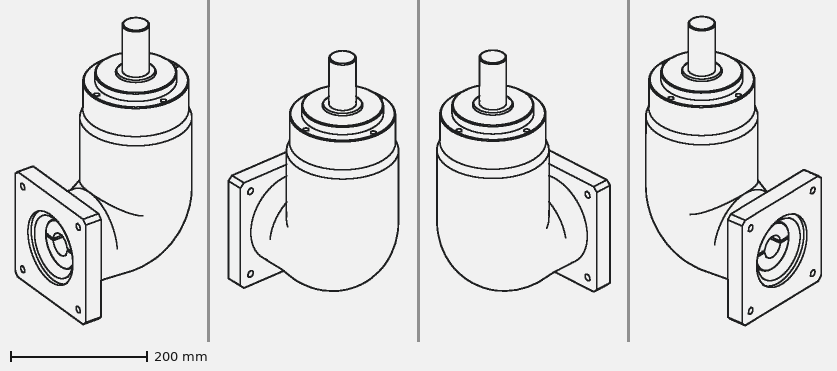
import cadquery as cq
import math

overall_height = 420.5

body_radius = 82.5
body_top = 261.3
collar_radius = 78.0
collar_bottom = 274.5
collar_top = 324.0
boss_radius = 60.0
boss_top = 338.2
seal_radius = 30.0
seal_top = 341.0
shaft_diameter = 40.0
shaft_radius = shaft_diameter / 2
edge_chamfer = 1.5
seal_taper = 1.5

collar_hole_count = 4
collar_hole_circle = 70.3
collar_hole_radius = 4.0
collar_hole_depth = 17.0
collar_hole_tip = 2.5

flange_size = 180.0
flange_thickness = 27.8
flange_front = -153.5
flange_back = flange_front + flange_thickness
flange_corner = 6.7
flange_hole_offset = 70.5
flange_hole_radius = 5.0
input_height = flange_size / 2

neck_radius = 70.3
neck_back = -body_radius
elbow_bottom = input_height - neck_radius
bend_offset = 38.5
bend_height = elbow_bottom + body_radius + bend_offset

pilot_radius = 57.2
pilot_depth = 6.0
recess_radius = 49.0
recess_depth = 50.5
hub_radius = 38.3
hub_height = 33.0
hub_chamfer = 1.3
bore_radius = 17.5
bore_depth = 50.5
slit_width = 3.5
slit_depth = hub_height


def input_disc(radius, front, back):
    """Cylinder on the input axis between two Y positions."""
    plane = cq.Workplane("XZ", origin=(0, front, input_height))
    return plane.circle(radius).extrude(front - back)


def make_output_column():
    """Turned housing, collar, boss, seal ring and shaft."""
    profile = [
        (0, bend_height),
        (body_radius, bend_height),
        (body_radius, body_top),
        (collar_radius, collar_bottom),
        (collar_radius, collar_top - edge_chamfer),
        (collar_radius - edge_chamfer, collar_top),
        (boss_radius, collar_top),
        (boss_radius, boss_top - edge_chamfer),
        (boss_radius - edge_chamfer, boss_top),
        (seal_radius, boss_top),
        (seal_radius - seal_taper, seal_top),
        (shaft_radius, seal_top),
        (shaft_radius, overall_height - edge_chamfer),
        (shaft_radius - edge_chamfer, overall_height),
        (0, overall_height),
    ]
    return cq.Workplane("XZ").polyline(profile).close().revolve(360, (0, 0), (0, 1))


def make_bend():
    """Quarter turn of the body circle, kept on the outer side of the bend axis."""
    half_chord = math.sqrt(body_radius**2 - bend_offset**2)
    return (
        cq.Workplane("XY", origin=(0, 0, bend_height))
        .moveTo(-half_chord, -bend_offset)
        .radiusArc((-body_radius, 0), body_radius)
        .radiusArc((0, body_radius), body_radius)
        .radiusArc((body_radius, 0), body_radius)
        .radiusArc((half_chord, -bend_offset), body_radius)
        .close()
        .revolve(90, (4, -bend_offset), (0, -bend_offset))
    )


def make_neck():
    """Taper from the body circle to the neck, then a straight neck to the flange."""
    taper = (
        cq.Workplane("XZ", origin=(0, -bend_offset, 0))
        .center(0, elbow_bottom + body_radius)
        .circle(body_radius)
        .workplane(offset=-bend_offset - neck_back)
        .center(0, neck_radius - body_radius)
        .circle(neck_radius)
        .loft()
    )
    return taper.union(input_disc(neck_radius, flange_back, neck_back))


def make_flange():
    """Square flange with cut corners and four through holes."""
    spacing = 2 * flange_hole_offset
    return (
        cq.Workplane("XZ", origin=(0, flange_back, input_height))
        .rect(flange_size, flange_size)
        .extrude(flange_thickness)
        .edges("|Y")
        .chamfer(flange_corner)
        .faces("<Y")
        .workplane(centerOption="CenterOfBoundBox")
        .rect(spacing, spacing, forConstruction=True)
        .vertices()
        .hole(2 * flange_hole_radius)
    )


def make_hub(floor):
    """Clamping hub standing on the recess floor."""
    return input_disc(hub_radius, floor - hub_height, floor).faces("<Y").chamfer(hub_chamfer)


def make_collar_holes():
    """Ring of blind drilled holes with conical tips in the collar face."""
    profile = [
        (0, 0),
        (collar_hole_radius, 0),
        (collar_hole_radius, -collar_hole_depth),
        (0, -collar_hole_depth - collar_hole_tip),
    ]
    drill = cq.Workplane("XZ").polyline(profile).close().revolve(360, (0, 0), (0, 1)).val()
    return (
        cq.Workplane("XY", origin=(0, 0, collar_top))
        .polarArray(collar_hole_circle, 0, 360, collar_hole_count)
        .eachpoint(drill, combine=False)
    )


recess_floor = flange_front + recess_depth
hub_front = recess_floor - hub_height
slit = cq.Workplane("XY").box(2 * hub_radius, slit_depth, slit_width)
slit = slit.translate((0, hub_front + slit_depth / 2, input_height))

result = make_output_column().union(make_bend()).union(make_neck()).union(make_flange())
for drill_hole in make_collar_holes().vals():
    result = result.cut(cq.Workplane(drill_hole))
result = result.cut(input_disc(pilot_radius, flange_front, flange_front + pilot_depth))
result = result.cut(input_disc(recess_radius, flange_front, recess_floor))
result = result.union(make_hub(recess_floor))
result = result.cut(input_disc(bore_radius, hub_front, hub_front + bore_depth))
result = result.cut(slit)